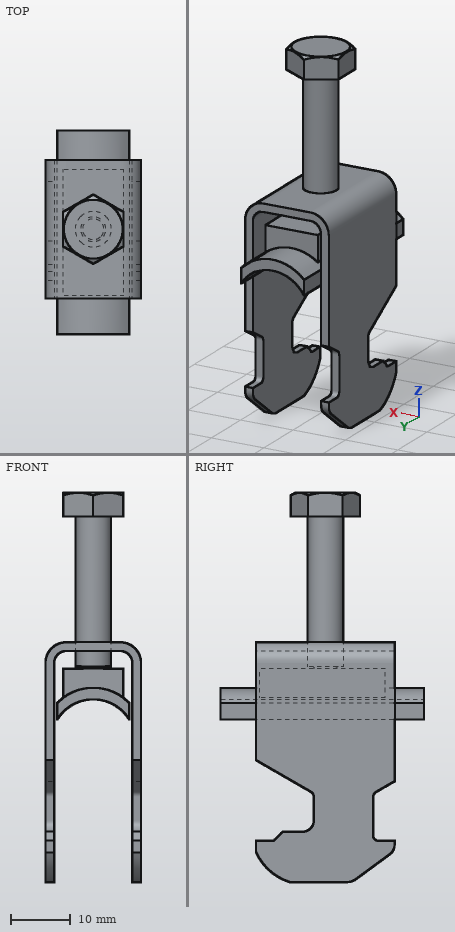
import cadquery as cq
import math

TOTAL_HEIGHT = 65.0

BRACKET_WIDTH = 16.0
BRACKET_DEPTH = 23.15
BRACKET_TOP = 40.05
SHEET = 1.5
BEND_RADIUS = 3.5

FRONT_SHOULDER_Z = 20.35
REAR_SHOULDER_Z = 16.85
SHOULDER_ANGLE = 30.0
NECK_FRONT = -1.95
NECK_REAR = 8.0
HOOK_SEAT_Z = 8.45
HOOK_LIP_Z = 6.95
SEAT_END = -7.1
FRONT_ARC_TOP_Z = 5.0
FRONT_ARC_MIDDLE = (-9.05, 1.7)
FRONT_ARC_BOTTOM = -5.9
REAR_SLOPE_Z = 5.25
REAR_SLOPE_BOTTOM = 4.4
SHOULDER_FILLET = 1.0
SEAT_FILLET = 1.8
REAR_LIP_FILLET = 0.8
REAR_TOE_FILLET = 2.0
REAR_HEEL_FILLET = 2.6

SCREW_DIAMETER = 6.0
HEAD_FLATS = 10.0
HEAD_HEIGHT = 4.0
HEAD_TOP_DIAMETER = 9.8
HEAD_CHAMFER_ANGLE = 30.0
SHANK_BOTTOM = 36.0
TIP_TOP_DIAMETER = 4.15
TIP_BOTTOM_DIAMETER = 3.5

SADDLE_WIDTH = 12.0
SADDLE_LENGTH = 34.0
SADDLE_CENTER_Y = -0.5
BLOCK_WIDTH = 10.0
BLOCK_LENGTH = 21.0
BLOCK_TOP = 35.6
OUTER_CROWN_Z = 32.45
OUTER_EDGE_Z = 29.9
INNER_CROWN_Z = 30.5
INNER_EDGE_Z = 27.1


def rod(diameter, bottom, top):
    """Vertical cylinder on the Z axis."""
    return cq.Workplane("XY").workplane(offset=bottom).circle(diameter / 2).extrude(top - bottom)


def extrude_along_y(profile, length, center):
    """Extrude an XZ profile symmetrically about the plane y = center."""
    return profile.extrude(length / 2, both=True).translate((0, center, 0))


def make_hook_shape():
    """Side outline of the legs, extruded across the full bracket width."""
    half_depth = BRACKET_DEPTH / 2
    slope = math.tan(math.radians(SHOULDER_ANGLE))
    neck_front_z = FRONT_SHOULDER_Z - slope * (half_depth + NECK_FRONT)
    neck_rear_z = REAR_SHOULDER_Z - slope * (half_depth - NECK_REAR)
    lip_start = SEAT_END - (HOOK_SEAT_Z - HOOK_LIP_Z)
    outline = (
        cq.Workplane("YZ")
        .moveTo(half_depth, BRACKET_TOP)
        .lineTo(-half_depth, BRACKET_TOP)
        .lineTo(-half_depth, FRONT_SHOULDER_Z)
        .lineTo(NECK_FRONT, neck_front_z)
        .lineTo(NECK_FRONT, HOOK_SEAT_Z)
        .lineTo(SEAT_END, HOOK_SEAT_Z)
        .lineTo(lip_start, HOOK_LIP_Z)
        .lineTo(-half_depth, HOOK_LIP_Z)
        .lineTo(-half_depth, FRONT_ARC_TOP_Z)
        .threePointArc(FRONT_ARC_MIDDLE, (FRONT_ARC_BOTTOM, 0))
        .lineTo(REAR_SLOPE_BOTTOM, 0)
        .lineTo(half_depth, REAR_SLOPE_Z)
        .lineTo(half_depth, HOOK_LIP_Z)
        .lineTo(NECK_REAR, HOOK_LIP_Z)
        .lineTo(NECK_REAR, neck_rear_z)
        .lineTo(half_depth, REAR_SHOULDER_Z)
        .close()
    )
    shape = outline.extrude(BRACKET_WIDTH / 2, both=True)
    rounded_corners = [
        (NECK_FRONT, neck_front_z, SHOULDER_FILLET),
        (NECK_REAR, neck_rear_z, SHOULDER_FILLET),
        (NECK_FRONT, HOOK_SEAT_Z, SEAT_FILLET),
        (NECK_REAR, HOOK_LIP_Z, REAR_LIP_FILLET),
        (half_depth, REAR_SLOPE_Z, REAR_TOE_FILLET),
        (REAR_SLOPE_BOTTOM, 0, REAR_HEEL_FILLET),
    ]
    for y, z, radius in rounded_corners:
        corner = cq.selectors.NearestToPointSelector((0, y, z))
        shape = shape.edges("|X").edges(corner).fillet(radius)
    return shape


def make_bracket():
    """Bent U cut to the hook outline, with a close-fitting screw hole in its web."""
    outer = (
        cq.Workplane("XY")
        .box(BRACKET_WIDTH, BRACKET_DEPTH, BRACKET_TOP, centered=(True, True, False))
        .edges("|Y and >Z")
        .fillet(BEND_RADIUS)
    )
    inner = (
        cq.Workplane("XY")
        .box(BRACKET_WIDTH - 2 * SHEET, BRACKET_DEPTH, BRACKET_TOP - SHEET, centered=(True, True, False))
        .edges("|Y and >Z")
        .fillet(BEND_RADIUS - SHEET)
    )
    screw_hole = rod(SCREW_DIAMETER, BRACKET_TOP - SHEET, BRACKET_TOP)
    return outer.cut(inner).intersect(make_hook_shape()).cut(screw_hole)


def make_screw():
    """Hexagon-head screw with a tapered tip resting on the saddle block."""
    corner_diameter = HEAD_FLATS / math.cos(math.radians(30))
    head_bottom = TOTAL_HEIGHT - HEAD_HEIGHT
    head = (
        cq.Workplane("XY")
        .workplane(offset=head_bottom)
        .polygon(6, corner_diameter)
        .extrude(HEAD_HEIGHT)
        .rotate((0, 0, 0), (0, 0, 1), 30)
    )
    corner_drop = (corner_diameter - HEAD_TOP_DIAMETER) / 2 * math.tan(math.radians(HEAD_CHAMFER_ANGLE))
    chamfer_envelope = (
        cq.Workplane("XZ")
        .moveTo(0, head_bottom)
        .lineTo(corner_diameter / 2, head_bottom)
        .lineTo(corner_diameter / 2, TOTAL_HEIGHT - corner_drop)
        .lineTo(HEAD_TOP_DIAMETER / 2, TOTAL_HEIGHT)
        .lineTo(0, TOTAL_HEIGHT)
        .close()
        .revolve(360, (0, 0, 0), (0, 1, 0))
    )
    shank = rod(SCREW_DIAMETER, SHANK_BOTTOM, head_bottom)
    tip = (
        cq.Workplane("XZ")
        .moveTo(0, BLOCK_TOP)
        .lineTo(TIP_BOTTOM_DIAMETER / 2, BLOCK_TOP)
        .lineTo(TIP_TOP_DIAMETER / 2, SHANK_BOTTOM)
        .lineTo(0, SHANK_BOTTOM)
        .close()
        .revolve(360, (0, 0, 0), (0, 1, 0))
    )
    return head.intersect(chamfer_envelope).union(shank).union(tip)


def make_saddle():
    """Arched strip along Y with a rectangular block standing on it."""
    half_width = SADDLE_WIDTH / 2
    half_block = BLOCK_WIDTH / 2
    strip_profile = (
        cq.Workplane("XZ")
        .moveTo(-half_width, INNER_EDGE_Z)
        .threePointArc((0, INNER_CROWN_Z), (half_width, INNER_EDGE_Z))
        .lineTo(half_width, OUTER_EDGE_Z)
        .threePointArc((0, OUTER_CROWN_Z), (-half_width, OUTER_EDGE_Z))
        .close()
    )
    strip = extrude_along_y(strip_profile, SADDLE_LENGTH, SADDLE_CENTER_Y)
    block_profile = (
        cq.Workplane("XZ")
        .moveTo(-half_block, OUTER_EDGE_Z)
        .threePointArc((0, INNER_CROWN_Z), (half_block, OUTER_EDGE_Z))
        .lineTo(half_block, BLOCK_TOP)
        .lineTo(-half_block, BLOCK_TOP)
        .close()
    )
    block = extrude_along_y(block_profile, BLOCK_LENGTH, SADDLE_CENTER_Y)
    return strip.union(block)


bracket = make_bracket()
screw = make_screw()
saddle = make_saddle()

result = cq.Compound.makeCompound([bracket.val(), screw.val(), saddle.val()])